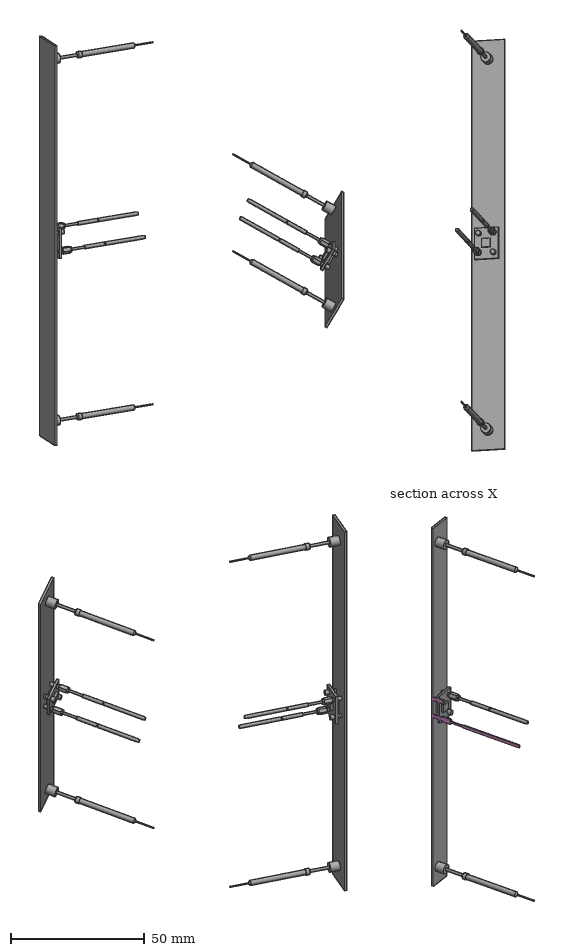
import cadquery as cq
import math

PLATE_WIDTH = 12.7
PLATE_HEIGHT = 158.8
PLATE_THICKNESS = 1.0

PLUNGER_Z = 71.9
PLUNGER_TIP_Y = 44.5
STANDOFF_END_Y = 4.8
STANDOFF_DIAMETER = 3.8
STEM_DIAMETER = 1.1
COLLAR_START_Y = 12.4
COLLAR_CHAMFER = 0.5
COLLAR_END_Y = 14.3
COLLAR_DIAMETER = 2.5
BARREL_END_Y = 37.0
BARREL_CHAMFER = 0.6
BARREL_DIAMETER = 2.0
NEEDLE_DIAMETER = 0.5

CARRIER_START_Y = 2.9
CARRIER_END_Y = 3.8
CARRIER_WIDTH = 9.2
CARRIER_HEIGHT = 12.0

REAR_BLOCK_SIZE = 3.3
REAR_BLOCK_END_Y = 4.8
FRONT_BLOCK_WIDTH = 4.5
FRONT_BLOCK_HEIGHT = 4.8
FRONT_BLOCK_START_Y = 1.6
SLIT_WIDTH = 0.2
SLIT_DEPTH = 0.5
SLIT_Z = 0.6

POST_X = 2.9
POST_Z = 3.8
POST_DIAMETER = 1.6
PEG_SHOULDER_Y = 1.7
PEG_END_Y = 5.4
PEG_DIAMETER = 1.9

NUT_START_Y = 4.6
NUT_END_Y = 8.5
NUT_ACROSS_FLATS = 2.4
NUT_FRONT_CHAMFER = 0.5
NUT_REAR_CHAMFER = 1.0
NUT_END_DIAMETER = 2.0
CONTACT_STEM_DIAMETER = 1.0
CONTACT_BARREL_START_Y = 14.3
CONTACT_BARREL_DIAMETER = 1.5
CONTACT_TIP_Y = 39.7
CONTACT_TIP_CHAMFER = 0.2
CONTACT_TIP_TAPER = 0.8
GROOVE_Y = 22.7
GROOVE_WIDTH = 0.5
GROOVE_DEPTH = 0.2


def turned(profile):
    """Revolve (radius, y) points around the Y axis, closing along the axis."""
    points = [(0, profile[0][1])] + profile + [(0, profile[-1][1])]
    return cq.Workplane("XY").polyline(points).close().revolve(360, (0, 0), (0, 1))


def block(width, height, start_y, end_y):
    """Box centred on the Y axis between two Y positions."""
    box = cq.Workplane("XY").box(width, end_y - start_y, height)
    return box.translate((0, (start_y + end_y) / 2, 0))


def make_plunger():
    stem = STEM_DIAMETER / 2
    collar = COLLAR_DIAMETER / 2
    barrel = BARREL_DIAMETER / 2
    needle = NEEDLE_DIAMETER / 2
    return turned([
        (STANDOFF_DIAMETER / 2, 0),
        (STANDOFF_DIAMETER / 2, STANDOFF_END_Y),
        (stem, STANDOFF_END_Y),
        (stem, COLLAR_START_Y),
        (collar - COLLAR_CHAMFER, COLLAR_START_Y),
        (collar, COLLAR_START_Y + COLLAR_CHAMFER),
        (collar, COLLAR_END_Y),
        (barrel, COLLAR_END_Y),
        (barrel, BARREL_END_Y - BARREL_CHAMFER),
        (barrel - BARREL_CHAMFER, BARREL_END_Y),
        (needle, BARREL_END_Y),
        (needle, PLUNGER_TIP_Y),
    ])


def make_nut():
    """Hexagon with corners toward +X and -X, turned down conically at both ends."""
    corner_diameter = NUT_ACROSS_FLATS / math.cos(math.pi / 6)
    hexagon = cq.Workplane("XZ").polygon(6, corner_diameter).extrude(NUT_START_Y - NUT_END_Y)
    envelope = turned([
        (NUT_END_DIAMETER / 2, NUT_START_Y),
        (corner_diameter / 2, NUT_START_Y + NUT_FRONT_CHAMFER),
        (corner_diameter / 2, NUT_END_Y - NUT_REAR_CHAMFER),
        (NUT_END_DIAMETER / 2, NUT_END_Y),
    ])
    return hexagon.translate((0, NUT_START_Y, 0)).intersect(envelope)


def make_contact():
    post = POST_DIAMETER / 2
    stem = CONTACT_STEM_DIAMETER / 2
    barrel = CONTACT_BARREL_DIAMETER / 2
    pin = turned([
        (post, 0),
        (post, NUT_START_Y),
        (stem, NUT_START_Y),
        (stem, CONTACT_BARREL_START_Y),
        (barrel, CONTACT_BARREL_START_Y),
        (barrel, GROOVE_Y - GROOVE_WIDTH / 2),
        (barrel - GROOVE_DEPTH, GROOVE_Y - GROOVE_WIDTH / 2),
        (barrel - GROOVE_DEPTH, GROOVE_Y + GROOVE_WIDTH / 2),
        (barrel, GROOVE_Y + GROOVE_WIDTH / 2),
        (barrel, CONTACT_TIP_Y - CONTACT_TIP_TAPER),
        (barrel - CONTACT_TIP_CHAMFER, CONTACT_TIP_Y),
    ])
    return pin.union(make_nut())


def make_peg():
    return turned([
        (POST_DIAMETER / 2, 0),
        (POST_DIAMETER / 2, PEG_SHOULDER_Y),
        (PEG_DIAMETER / 2, PEG_SHOULDER_Y),
        (PEG_DIAMETER / 2, PEG_END_Y),
    ])


def make_carrier():
    carrier = block(CARRIER_WIDTH, CARRIER_HEIGHT, CARRIER_START_Y, CARRIER_END_Y)
    front_block = block(FRONT_BLOCK_WIDTH, FRONT_BLOCK_HEIGHT, FRONT_BLOCK_START_Y, CARRIER_START_Y)
    slit = block(FRONT_BLOCK_WIDTH, SLIT_WIDTH, CARRIER_START_Y - SLIT_DEPTH, CARRIER_START_Y)
    for side in (-1, 1):
        front_block = front_block.cut(slit.translate((0, 0, side * SLIT_Z)))
    rear_block = block(REAR_BLOCK_SIZE, REAR_BLOCK_SIZE, CARRIER_END_Y, REAR_BLOCK_END_Y)
    return carrier.union(front_block).union(rear_block)


result = block(PLATE_WIDTH, PLATE_HEIGHT, 0, PLATE_THICKNESS).union(make_carrier())
for side in (-1, 1):
    result = result.union(make_plunger().translate((0, 0, side * PLUNGER_Z)))
    result = result.union(make_contact().translate((side * POST_X, 0, -side * POST_Z)))
    result = result.union(make_peg().translate((side * POST_X, 0, side * POST_Z)))